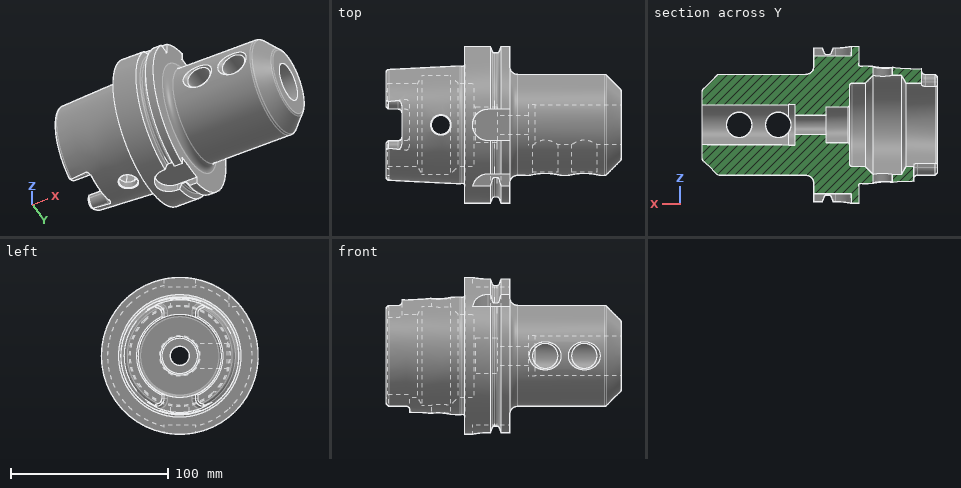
import cadquery as cq
import math


tolerance = 0.02

shank_length = 50.0
total_length = 150
nose_end = total_length - shank_length
flange_length = 29.0

taper_gauge_diameter = 75.6
taper_slope = 1 / 20
shank_end_round = 2.0
relief_length = 2.8
relief_run = 0.9
relief_depth = 0.2
face_relief_diameter = 78.2
face_relief_depth = 0.3
relief_corner_round = 1.25

gauge_radius = taper_gauge_diameter / 2
relief_radius = gauge_radius - taper_slope * relief_length
relief_floor_radius = relief_radius - relief_depth

flange_diameter = 100.0
groove_center = 20.0
groove_mouth_width = 6.8
groove_floor_width = 3.6
groove_depth = 4.0
groove_round = 1.25

nose_diameter = 64.5
neck_round = 5.0
nose_bevel = 10.0
nose_round = 2.0

mouth_diameter = 53.0
mouth_chamfer = 1.0
mouth_length = 20.1
chamber_diameter = 63
shoulder_angle = 60
chamber_end = -9.0
bore_floor = 6.0
bore_floor_round = 1.5

coolant_diameter = 22.5
coolant_chamfer = 1.0
coolant_depth = 15
through_diameter = 12
tool_diameter = 25.0
tool_relief_diameter = 26.0
tool_relief_start = 41.0
tool_relief_end = 44.8

drive_slot_width = 20.0
drive_slot_shallow = 10.0
drive_slot_deep = 15
lug_round = 5.0
lug_crest = 32.1
lug_edge_chamfer = 1.5
drive_floor_round = 2.2

flange_slot_width = 20.0
flange_slot_center = 15.0
flange_slot_floor = 44.0
notch_floor = 31.5
notch_wall = 31.2

access_x = -15
access_diameter = 12
access_chamfer = 0.52
screw_diameter = 16.0
screw_sink_diameter = 20.4
screw_positions = (51.5, 76.4)


def turned(points):
    """Revolve a closed (x, radius) outline about the X axis."""
    return cq.Workplane("XY").polyline(points).close().revolve(360, (0, 0, 0), (1, 0, 0))


def bar(diameter, start, end):
    """Solid cylinder along X."""
    return cq.Workplane("YZ", origin=(start, 0, 0)).circle(diameter / 2).extrude(end - start)


def edges_inside(low, high):
    """Selector for the edges that lie wholly inside a box."""
    return cq.selectors.BoxSelector(low, high, boundingbox=True)


def ring_at(x, radius):
    """Selector for the circular edge of one radius, the largest in its plane, at one place along X."""
    reach = radius + tolerance
    return edges_inside((x - tolerance, -reach, -reach), (x + tolerance, reach, reach))


def make_shank():
    end_radius = gauge_radius - taper_slope * shank_length
    shank = turned([
        (-shank_length, 0),
        (-shank_length, end_radius),
        (-relief_length, relief_radius),
        (-relief_length + relief_run, relief_floor_radius),
        (face_relief_depth, relief_floor_radius),
        (face_relief_depth, 0),
    ])
    return shank.faces("<X").edges().fillet(shank_end_round)


def make_flange():
    radius = flange_diameter / 2
    floor_radius = radius - groove_depth
    mouth = groove_mouth_width / 2
    floor = groove_floor_width / 2
    flange = turned([
        (0, 0),
        (0, radius),
        (groove_center - mouth, radius),
        (groove_center - floor, floor_radius),
        (groove_center + floor, floor_radius),
        (groove_center + mouth, radius),
        (flange_length, radius),
        (flange_length, 0),
    ])
    for x in (groove_center - floor, groove_center + floor):
        flange = flange.edges(ring_at(x, floor_radius)).fillet(groove_round)
    return flange.cut(bar(face_relief_diameter, 0, face_relief_depth))


def make_nose():
    radius = nose_diameter / 2
    nose = turned([
        (groove_center, 0),
        (groove_center, radius),
        (nose_end - nose_bevel, radius),
        (nose_end, radius - nose_bevel),
        (nose_end, 0),
    ])
    for x, edge_radius in ((nose_end - nose_bevel, radius), (nose_end, radius - nose_bevel)):
        nose = nose.edges(ring_at(x, edge_radius)).fillet(nose_round)
    return nose


def make_clamping_bore():
    mouth = mouth_diameter / 2
    chamber = chamber_diameter / 2
    shoulder_start = -shank_length + mouth_length
    shoulder_end = shoulder_start + (chamber - mouth) / math.tan(math.radians(shoulder_angle))
    bore = turned([
        (-shank_length, 0),
        (-shank_length, mouth + mouth_chamfer),
        (-shank_length + mouth_chamfer, mouth),
        (shoulder_start, mouth),
        (shoulder_end, chamber),
        (chamber_end, chamber),
        (chamber_end + chamber - mouth, mouth),
        (bore_floor, mouth),
        (bore_floor, 0),
    ])
    return bore.edges(ring_at(bore_floor, mouth)).fillet(bore_floor_round)


def make_center_bores():
    radius = coolant_diameter / 2
    coolant = turned([
        (bore_floor, 0),
        (bore_floor, radius + coolant_chamfer),
        (bore_floor + coolant_chamfer, radius),
        (bore_floor + coolant_depth, radius),
        (bore_floor + coolant_depth, 0),
    ])
    bores = coolant.union(bar(through_diameter, bore_floor, tool_relief_end))
    bores = bores.union(bar(tool_relief_diameter, tool_relief_start, tool_relief_end))
    return bores.union(bar(tool_diameter, tool_relief_end, nose_end))


def drive_slot(depth):
    """Slot across the +Z side of the shank end, flaring round the outer lug corners."""
    half = drive_slot_width / 2
    reach = flange_diameter / 2
    bend = lug_crest - lug_round
    diagonal = lug_round * (1 - math.sqrt(0.5))
    slot = (
        cq.Workplane("YZ", origin=(-shank_length, 0, 0))
        .moveTo(-half, 0)
        .lineTo(half, 0)
        .lineTo(half, bend)
        .threePointArc((half + diagonal, lug_crest - diagonal), (half + lug_round, lug_crest))
        .lineTo(reach, lug_crest)
        .lineTo(reach, reach)
        .lineTo(-reach, reach)
        .lineTo(-reach, lug_crest)
        .lineTo(-half - lug_round, lug_crest)
        .threePointArc((-half - diagonal, lug_crest - diagonal), (-half, bend))
        .close()
        .extrude(depth)
    )
    slot = slot.faces(">X").edges("not <Z").edges("not >Z").fillet(drive_floor_round)
    plate = cq.Workplane("YZ", origin=(-shank_length, 0, 0)).rect(2 * flange_diameter, 2 * flange_diameter)
    tool = slot.union(plate.extrude(-2 * lug_edge_chamfer))
    lug_edges = edges_inside(
        (-shank_length - tolerance, -reach + tolerance, tolerance),
        (-shank_length + tolerance, reach - tolerance, reach - tolerance),
    )
    return tool.edges(lug_edges).chamfer(lug_edge_chamfer)


def flange_slot(y, floor):
    """Round-ended slot with a flat floor facing +Z, open towards the nose."""
    half = flange_slot_width / 2
    return (
        cq.Workplane("XY", origin=(0, y, floor))
        .moveTo(flange_length, -half)
        .lineTo(flange_slot_center, -half)
        .threePointArc((flange_slot_center - half, 0), (flange_slot_center, half))
        .lineTo(flange_length, half)
        .close()
        .extrude(flange_diameter / 2)
    )


def screw_hole(x):
    """Clamping screw hole from the -Y side into the tool bore, with a 45 degree countersink."""
    radius = screw_diameter / 2
    sink = screw_sink_diameter / 2
    surface = nose_diameter / 2
    outline = [(0, 0), (radius, 0), (radius, radius - sink + surface), (sink, surface), (0, surface)]
    hole = cq.Workplane("XY").polyline(outline).close().revolve(360, (0, 0, 0), (0, 1, 0))
    return hole.mirror("XZ").translate((x, 0, 0))


def bevel_access_rims(body):
    """Chamfer the outer rim of the access hole on the +Z and -Z sides."""
    reach = access_diameter / 2 + tolerance
    chamber_radius = chamber_diameter / 2 + tolerance
    for low, high in ((chamber_radius, gauge_radius), (-gauge_radius, -chamber_radius)):
        rim = edges_inside((access_x - reach, -reach, low), (access_x + reach, reach, high))
        body = body.edges(rim).chamfer(access_chamfer)
    return body


result = make_shank().union(make_flange()).union(make_nose())
result = result.edges(ring_at(flange_length, nose_diameter / 2)).fillet(neck_round)
result = result.edges(ring_at(face_relief_depth, relief_floor_radius)).fillet(relief_corner_round)
result = result.cut(make_clamping_bore()).cut(make_center_bores())

result = result.cut(drive_slot(drive_slot_shallow))
result = result.cut(drive_slot(drive_slot_deep).mirror("XY"))

top_slot = flange_slot(0, flange_slot_floor)
notch = flange_slot(-notch_wall - flange_slot_width / 2, notch_floor)
result = result.cut(top_slot).cut(top_slot.mirror("XY")).cut(notch)

access = cq.Workplane("XY", origin=(access_x, 0, -gauge_radius)).circle(access_diameter / 2)
result = bevel_access_rims(result.cut(access.extrude(2 * gauge_radius)))
for position in screw_positions:
    result = result.cut(screw_hole(position))